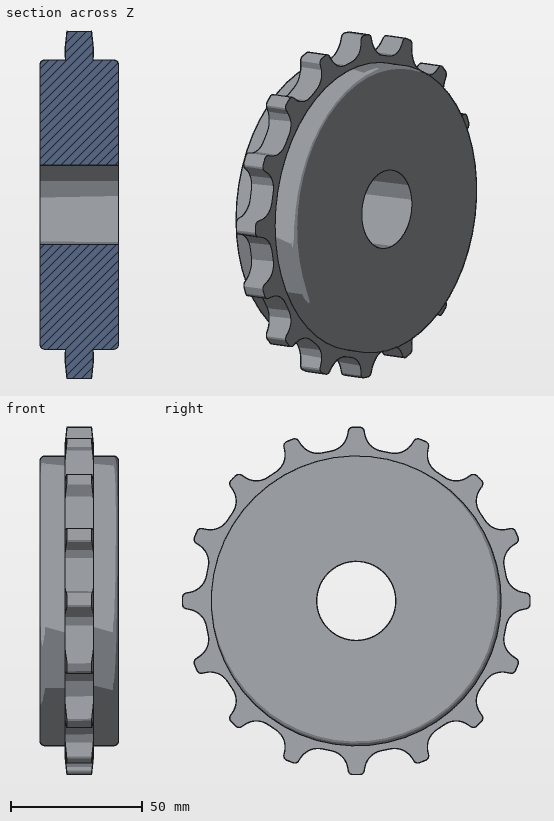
import cadquery as cq
import math

hub_length = 30.0
hub_radius = 55.1
hub_edge_fillet = 2.0
bore_diameter = 30.0

tooth_count = 16
tip_radius = 66.0
root_radius = 57.7
root_flat_half = 1.8
ring_thickness = 10.7
seat_radius = 7.8
seat_end_height = 63.1
tip_fillet = 1.8

tip_thickness = 9.4
bevel_start_height = 59.8

pitch_angle_deg = 360 / tooth_count
half_pitch = math.pi / tooth_count


def gap_to_tooth(across, outward):
    """Convert a point measured from the gap axis to the frame of the tooth beside it."""
    return (
        outward * math.sin(half_pitch) + across * math.cos(half_pitch),
        outward * math.cos(half_pitch) - across * math.sin(half_pitch),
    )


seat_center = gap_to_tooth(-root_flat_half, root_radius + seat_radius)
seat_start_angle = -math.pi / 2 - half_pitch
seat_end_angle = -math.pi + math.asin((seat_center[1] - seat_end_height) / seat_radius)


def on_seat(angle):
    return (
        seat_center[0] + seat_radius * math.cos(angle),
        seat_center[1] + seat_radius * math.sin(angle),
    )


seat_start = on_seat(seat_start_angle)
seat_middle = on_seat((seat_start_angle + seat_end_angle) / 2)
seat_end = on_seat(seat_end_angle)

flank_run = (tip_radius - seat_end_height) * math.tan(seat_end_angle)
tip_corner = (seat_end[0] - flank_run, tip_radius)


def mirrored(point):
    return (-point[0], point[1])


def make_tooth():
    """One tooth along +Z, reaching down to the ends of the root flats beside it."""
    blank = (
        cq.Workplane("YZ")
        .moveTo(*seat_start)
        .threePointArc(seat_middle, seat_end)
        .lineTo(*tip_corner)
        .lineTo(*mirrored(tip_corner))
        .lineTo(*mirrored(seat_end))
        .threePointArc(mirrored(seat_middle), mirrored(seat_start))
        .close()
        .extrude(ring_thickness / 2, both=True)
    )
    blank = blank.faces(">Z").edges("|X").fillet(tip_fillet)

    side_profile = (
        cq.Workplane("XZ")
        .moveTo(-ring_thickness / 2, 0)
        .lineTo(ring_thickness / 2, 0)
        .lineTo(ring_thickness / 2, bevel_start_height)
        .lineTo(tip_thickness / 2, tip_radius)
        .lineTo(-tip_thickness / 2, tip_radius)
        .lineTo(-ring_thickness / 2, bevel_start_height)
        .close()
        .extrude(tip_radius, both=True)
    )
    return blank.intersect(side_profile)


def make_root_disc():
    """Polygonal disc whose sides carry the root flats and whose corners lie inside the teeth."""
    corner_radius = root_radius / math.cos(half_pitch)
    return (
        cq.Workplane("YZ")
        .polygon(tooth_count, 2 * corner_radius)
        .extrude(ring_thickness / 2, both=True)
    )


def make_hub():
    drum = cq.Workplane("YZ").circle(hub_radius).extrude(hub_length / 2, both=True)
    return drum.faces("<X or >X").edges().fillet(hub_edge_fillet)


def make_bore():
    start = (-hub_length / 2, 0, 0)
    return cq.Workplane("YZ", origin=start).circle(bore_diameter / 2).extrude(hub_length)


tooth = make_tooth()
body = make_hub().union(make_root_disc())
for index in range(tooth_count):
    body = body.union(tooth.rotate((0, 0, 0), (1, 0, 0), index * pitch_angle_deg))

result = body.cut(make_bore()).clean()